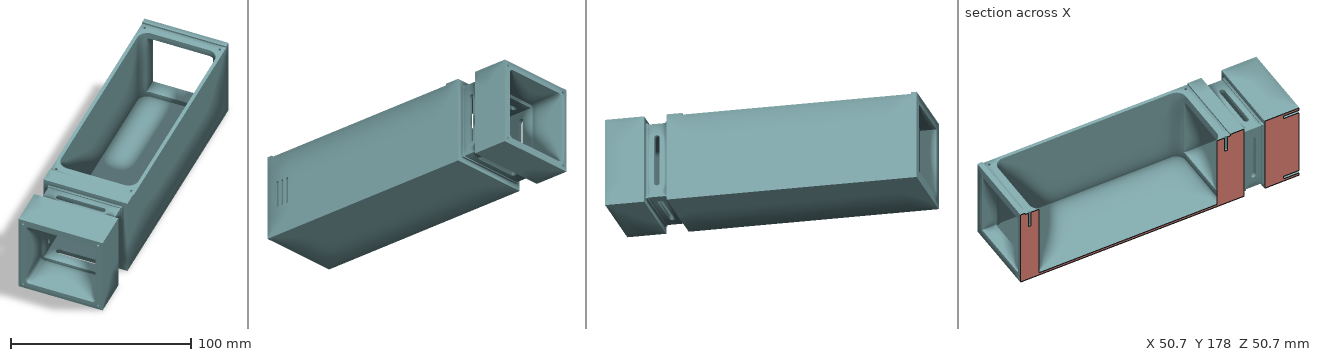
import cadquery as cq

length = 178.0
side = 50.7
half = side / 2
front = -length / 2
back = length / 2

head_length = 22.2
waist_length = 12.8
waist_side = 43.5
collar_side = 44.5
collar_length = 1.34
waist_start = front + head_length
waist_end = waist_start + waist_length
waist_middle = (waist_start + waist_end) / 2

bore_side = 38.1
back_opening_side = 40.2
pocket_side = 42.4
pocket_depth = 21.0
pocket_corner_radius = 2.5

waist_slot_length = 29.7
waist_slot_width = 3.2

seat_depth = 1.0
seat_rim = 3.2
seat_length = 130.8
seat_back = back - seat_rim
seat_middle = seat_back - seat_length / 2
seat_level = half - seat_depth

cavity_width = 46.6
cavity_length = 119.6
cavity_corner_radius = 6.0
floor_thickness = 2.0
cavity_depth = side - floor_thickness

screw_diameter = 1.5
screw_depth = 10.0
screw_spacing = 45.2
seat_screw_length = 125.3

vent_count = 3
vent_depth = 1.0
vent_width = 1.8
vent_height = 15.7
vent_pitch = 3.5
first_vent_inset = 7.3


def square_bar(width, start, bar_length):
    """Square bar on the Y axis, running from y = start towards +Y."""
    return cq.Workplane("XY").box(width, bar_length, width).translate((0, start + bar_length / 2, 0))


def make_body():
    """Solid outer shape: head, waist with a collar at each end, and main body."""
    head = square_bar(side, front, head_length)
    waist = square_bar(waist_side, waist_start, waist_length)
    body = square_bar(side, waist_end, back - waist_end)
    shape = head.union(waist).union(body)
    for collar_start in (waist_start, waist_end - collar_length):
        shape = shape.union(square_bar(collar_side, collar_start, collar_length))
    return shape


def make_bore():
    """Bore up to the main cavity, round-cornered pocket in the head and opening in the back wall."""
    pocket = square_bar(pocket_side, front, pocket_depth).edges("|Y").fillet(pocket_corner_radius)
    bore = square_bar(bore_side, front, seat_middle - front)
    back_opening = square_bar(back_opening_side, seat_middle, back - seat_middle)
    return bore.union(pocket).union(back_opening)


def make_waist_slots():
    """One vertical and one sideways slot cutter, each crossing both opposite walls."""
    vertical = (
        cq.Workplane("XY")
        .center(0, waist_middle)
        .slot2D(waist_slot_length, waist_slot_width)
        .extrude(half, both=True)
    )
    sideways = vertical.rotate((0, 0, 0), (0, 1, 0), 90)
    return vertical.union(sideways)


def make_lid_opening():
    """Shallow lid seat across the full width and the cavity below it."""
    seat = (
        cq.Workplane("XY", origin=(0, seat_middle, seat_level))
        .rect(side, seat_length)
        .extrude(seat_depth)
    )
    cavity = (
        cq.Workplane("XY", origin=(0, seat_middle, half))
        .rect(cavity_width, cavity_length)
        .extrude(-cavity_depth)
        .edges("|Z")
        .fillet(cavity_corner_radius)
    )
    return seat.union(cavity)


def make_screw_holes():
    """Four blind holes in the front face and four in the lid seat."""
    face_holes = (
        cq.Workplane("XZ", origin=(0, front, 0))
        .rect(screw_spacing, screw_spacing, forConstruction=True)
        .vertices()
        .circle(screw_diameter / 2)
        .extrude(-screw_depth)
    )
    seat_holes = (
        cq.Workplane("XY", origin=(0, seat_middle, seat_level))
        .rect(screw_spacing, seat_screw_length, forConstruction=True)
        .vertices()
        .circle(screw_diameter / 2)
        .extrude(-screw_depth)
    )
    return face_holes.union(seat_holes)


def make_vents():
    """Row of shallow upright grooves cut into the -X side."""
    vents = cq.Workplane("XY")
    for index in range(vent_count):
        y = back - first_vent_inset - index * vent_pitch
        vent = cq.Workplane("XY").box(vent_depth, vent_width, vent_height)
        vents = vents.union(vent.translate((vent_depth / 2 - half, y, 0)))
    return vents


result = (
    make_body()
    .cut(make_bore())
    .cut(make_waist_slots())
    .cut(make_lid_opening())
    .cut(make_screw_holes())
    .cut(make_vents())
)